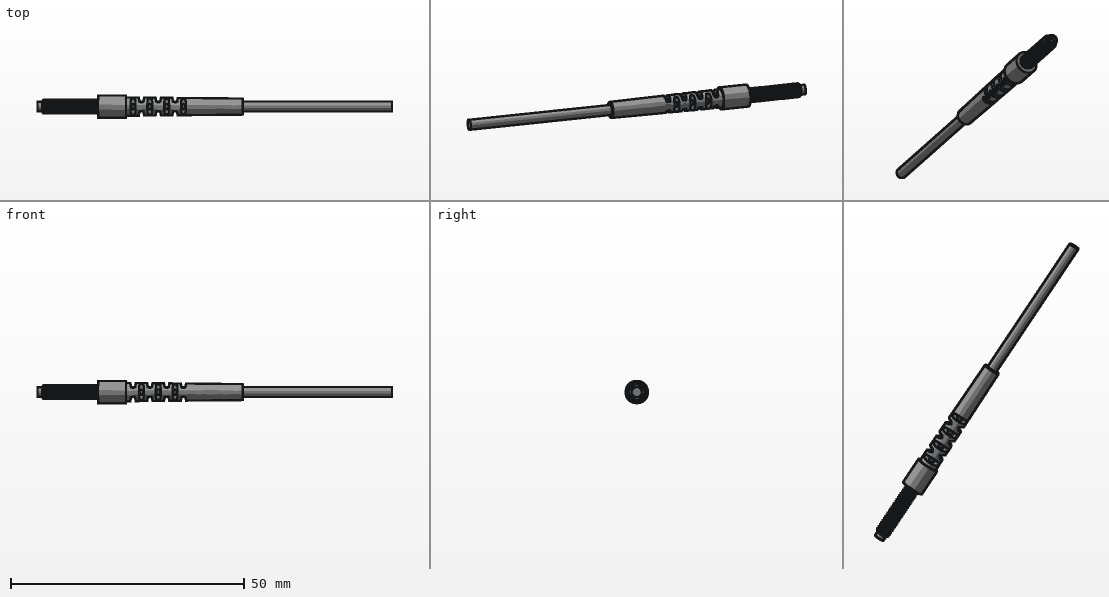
import cadquery as cq

overall_length = 76.0
start_x = -overall_length / 2
stub_length = 1.0
thread_length = 12.0
collar_length = 6.0
sleeve_length = 25.0
thread_x = start_x + stub_length
collar_x = thread_x + thread_length
sleeve_x = collar_x + collar_length
sleeve_end_x = sleeve_x + sleeve_length
end_x = start_x + overall_length

stub_radius = 1.05
bore_radius = 0.75
bore_depth = 1.0
collar_radius = 2.4
sleeve_front_radius = 2.0
sleeve_rear_radius = 1.75
sleeve_rear_chamfer = 0.1
cable_radius = 1.1

thread_radius = 1.5
thread_pitch = 0.5
thread_depth = 0.27
thread_root_radius = thread_radius - thread_depth
thread_root_flat = thread_pitch / 8
thread_crest_flat = thread_pitch / 8
thread_chamfer = 0.4
thread_start_gap = 0.1
thread_start_x = thread_x + thread_chamfer + thread_start_gap

slot_mouth_width = 1.15
slot_shoulder_width = 0.9
slot_floor = 0.92
slot_arc_rise = 0.35
slot_shoulder = slot_floor + slot_arc_rise
slot_pitch = 3.6
first_slot_offset = 1.5
first_slot_x = sleeve_x + first_slot_offset
vertical_slot_count = 4
cross_slot_count = 3


def turned(points):
    """Revolve an (x, radius) outline about the X axis."""
    outline = [(x, -radius) for x, radius in points]
    return cq.Workplane("XY").polyline(outline).close().revolve(360, (0, 0, 0), (1, 0, 0))


def cylinder(x_from, x_to, radius):
    """Solid cylinder on the X axis between two stations."""
    return turned([(x_from, 0), (x_from, radius), (x_to, radius), (x_to, 0)])


def make_threaded_rod():
    """M3 rod with a chamfered tip and a helical V groove from the chamfer to the collar."""
    rod = turned([
        (thread_x, 0),
        (thread_x, thread_radius - thread_chamfer),
        (thread_x + thread_chamfer, thread_radius),
        (collar_x, thread_radius),
        (collar_x, 0),
    ])
    mouth_overshoot = 0.01
    flank_slope = (thread_pitch - thread_crest_flat - thread_root_flat) / 2 / thread_depth
    half_root = thread_root_flat / 2
    half_mouth = half_root + flank_slope * (thread_depth + mouth_overshoot)
    mouth_radius = thread_radius + mouth_overshoot
    helix = cq.Wire.makeHelix(thread_pitch, thread_length - thread_chamfer, thread_root_radius)
    groove = (
        cq.Workplane("XZ")
        .polyline([
            (thread_root_radius, -half_root),
            (mouth_radius, -half_mouth),
            (mouth_radius, half_mouth),
            (thread_root_radius, half_root),
        ])
        .close()
        .sweep(cq.Workplane(obj=helix), isFrenet=True)
        .rotate((0, 0, 0), (0, 1, 0), 90)
        .translate((thread_start_x, 0, 0))
    )
    return rod.cut(groove)


def make_housing():
    """Threaded rod with a bored stub at its tip and a collar at its back."""
    stub = cylinder(start_x, thread_x, stub_radius)
    collar = cylinder(collar_x, sleeve_x, collar_radius)
    bore = cylinder(start_x, start_x + bore_depth, bore_radius)
    return make_threaded_rod().union(stub).union(collar).cut(bore)


def make_slot_pair(x):
    """Two opposite flared, round-bottomed slots, cut from above and from below."""
    half_mouth = slot_mouth_width / 2
    half_shoulder = slot_shoulder_width / 2
    slot = (
        cq.Workplane("XZ")
        .moveTo(x - half_mouth, sleeve_front_radius)
        .lineTo(x - half_shoulder, slot_shoulder)
        .threePointArc((x, slot_floor), (x + half_shoulder, slot_shoulder))
        .lineTo(x + half_mouth, sleeve_front_radius)
        .close()
        .extrude(sleeve_front_radius, both=True)
    )
    return slot.union(slot.mirror("XY"))


def make_sleeve():
    """Tapered sleeve around the cable, with alternating pairs of flex slots."""
    sleeve = turned([
        (sleeve_x, cable_radius),
        (sleeve_x, sleeve_front_radius),
        (sleeve_end_x - sleeve_rear_chamfer, sleeve_rear_radius),
        (sleeve_end_x, sleeve_rear_radius - sleeve_rear_chamfer),
        (sleeve_end_x, cable_radius),
    ])
    for i in range(vertical_slot_count):
        sleeve = sleeve.cut(make_slot_pair(first_slot_x + i * slot_pitch))
    for i in range(cross_slot_count):
        pair = make_slot_pair(first_slot_x + (i + 0.5) * slot_pitch)
        sleeve = sleeve.cut(pair.rotate((0, 0, 0), (1, 0, 0), 90))
    return sleeve


housing = make_housing()
sleeve = make_sleeve()
cable = cylinder(sleeve_x, end_x, cable_radius)

result = cq.Compound.makeCompound([housing.val(), sleeve.val(), cable.val()])